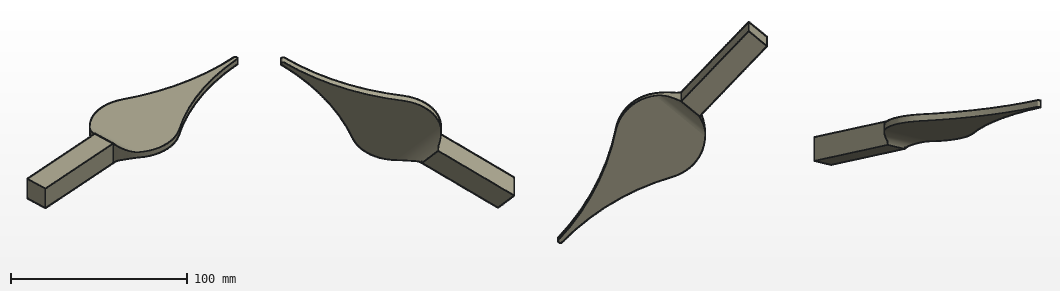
import cadquery as cq
import math

total_length = 170.0
max_width = 50.5

handle_side = 14.0
handle_length = 57.6

blade_thickness = 3.9
flare_radius = 10.0
tip_width = 2.5
tip_corner_radius = 0.8

widest_y = 83.5
shoulder_width = 43.5
shoulder_y = 96.7
neck_width = 20.7
neck_y = 59.7


def tangent_arc_mid(tangent_end, other_end):
    """Middle point of an arc that runs parallel to Y at tangent_end and passes through other_end."""
    dx = other_end[0] - tangent_end[0]
    dy = other_end[1] - tangent_end[1]
    radius = (dx**2 + dy**2) / (2 * abs(dx))
    half_angle = math.atan2(abs(dx), abs(dy))
    mid_x = tangent_end[0] + math.copysign(radius * (1 - math.cos(half_angle)), dx)
    mid_y = tangent_end[1] + math.copysign(radius * math.sin(half_angle), dy)
    return mid_x, mid_y


def make_handle():
    return cq.Workplane("XY").box(handle_side, handle_length, handle_side, centered=(True, False, True))


def make_teardrop():
    """Half teardrop extruded to the handle thickness, mirrored, with its tip corners rounded."""
    root = (handle_side / 2, handle_length)
    neck = (neck_width / 2, neck_y)
    widest = (max_width / 2, widest_y)
    shoulder = (shoulder_width / 2, shoulder_y)
    tip = (tip_width / 2, total_length)
    half = (
        cq.Workplane("XY")
        .moveTo(0, total_length)
        .lineTo(*tip)
        .threePointArc(tangent_arc_mid(tip, shoulder), shoulder)
        .threePointArc(tangent_arc_mid(widest, shoulder), widest)
        .threePointArc(tangent_arc_mid(widest, neck), neck)
        .tangentArcPoint(root, relative=False)
        .lineTo(0, handle_length)
        .close()
        .extrude(handle_side / 2, both=True)
    )
    teardrop = half.union(half.mirror("YZ"))
    return teardrop.faces(">Y").edges("|Z").fillet(tip_corner_radius)


def make_thickness_profile():
    """Side profile of the blade: flat, flaring on both faces along arcs up to the handle."""
    half_handle = handle_side / 2
    half_blade = blade_thickness / 2
    flare_angle = math.acos(1 - (half_handle - half_blade) / flare_radius)
    flare_end_y = handle_length + flare_radius * math.sin(flare_angle)
    mid_y = flare_end_y - flare_radius * math.sin(flare_angle / 2)
    mid_z = half_blade + flare_radius * (1 - math.cos(flare_angle / 2))
    return (
        cq.Workplane("YZ")
        .moveTo(handle_length, -half_handle)
        .lineTo(handle_length, half_handle)
        .threePointArc((mid_y, mid_z), (flare_end_y, half_blade))
        .lineTo(total_length, half_blade)
        .lineTo(total_length, -half_blade)
        .lineTo(flare_end_y, -half_blade)
        .threePointArc((mid_y, -mid_z), (handle_length, -half_handle))
        .close()
        .extrude(max_width / 2, both=True)
    )


blade = make_teardrop().intersect(make_thickness_profile())
result = make_handle().union(blade)